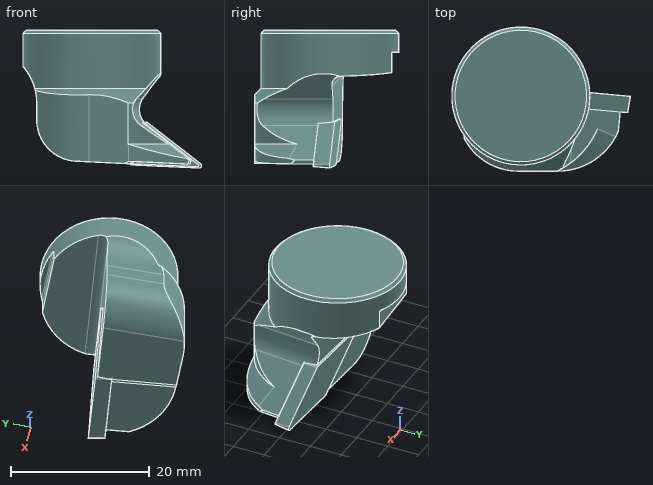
import cadquery as cq
import math

FAR = 25.9

shank_diameter = 20.0
shank_radius = shank_diameter / 2
shank_chamfer = 0.47
shank_bottom = -8.45
neck_radius = 12.1
neck_top = shank_bottom - (neck_radius - shank_radius)
shoulder_z = -16.5
shoulder_width = 5.18
shoulder_slope = 36.0

front_y = -10.9
left_corner_x = -0.4
left_corner_radius = 8.8
right_corner_x = 5.33
right_corner_radius = 9.58

body_left = -8.0
relief_start_z = -5.25
relief_end_z = -10.5
heel_top_z = -12.97
heel_end_x = -2.65
heel_end_z = -18.98
bottom_slope = 2.8

seat_turn = 5.3
pocket_wall = 1.11
pocket_roof_z = -5.85
pocket_roof_tilt = 4.9
pocket_fillet = 1.4

flat_y = 8.95
flat_top = -3.2
flat_fillet = 0.2

insert_face = 1.42
insert_thickness = 2.4
insert_tip_u = 15.85
insert_bottom_z = -20.0
insert_width = 6.35
insert_angle = 35.0
insert_tilt = 2.6
insert_clearance = 5.0
insert_corner = 0.35
insert_edge = insert_width / math.sin(math.radians(insert_angle))

turn = math.radians(seat_turn)
seat_u = cq.Vector(math.cos(turn), -math.sin(turn), 0)
seat_normal = cq.Vector(math.sin(turn), math.cos(turn), 0)


def seat_plane(offset):
    """Plane parallel to the seat; local axes are seat_u and Z, facing away from the pocket."""
    return cq.Workplane(cq.Plane(seat_normal * offset, seat_u, seat_normal * -1))


def turned_blank():
    """Lower body turned about Z, from the shank bottom to the conical shoulder."""
    shoulder_radius = neck_radius + shoulder_width
    shoulder_end_z = shoulder_z - shoulder_width * math.tan(math.radians(shoulder_slope))
    return (
        cq.Workplane("XZ")
        .moveTo(0, shank_bottom)
        .lineTo(shank_radius, shank_bottom)
        .lineTo(neck_radius, neck_top)
        .lineTo(neck_radius, shoulder_z)
        .lineTo(shoulder_radius, shoulder_end_z)
        .lineTo(shoulder_radius, -FAR)
        .lineTo(0, -FAR)
        .close()
        .revolve(360, (0, 0, 0), (0, 1, 0))
    )


def plan_outline():
    """Prism with the plan outline of the nose."""
    left_x = left_corner_x - left_corner_radius
    right_x = right_corner_x + right_corner_radius
    return (
        cq.Workplane("XY")
        .moveTo(left_x, shank_radius)
        .lineTo(left_x, front_y + left_corner_radius)
        .radiusArc((left_corner_x, front_y), -left_corner_radius)
        .lineTo(right_corner_x, front_y)
        .radiusArc((right_x, front_y + right_corner_radius), -right_corner_radius)
        .lineTo(right_x, shank_radius)
        .close()
        .extrude(-FAR)
    )


def side_outline():
    """Prism along Y with the relief, heel and bottom of the holder."""
    relief_depth = shank_radius + body_left
    relief_height = relief_start_z - relief_end_z
    relief_radius = (relief_depth**2 + relief_height**2) / (2 * relief_depth)
    bottom_end_z = heel_end_z - (FAR - heel_end_x) * math.tan(math.radians(bottom_slope))
    return (
        cq.Workplane("XZ")
        .moveTo(-shank_radius, 0)
        .lineTo(-shank_radius, relief_start_z)
        .radiusArc((body_left, relief_end_z), relief_radius)
        .lineTo(body_left, heel_top_z)
        .tangentArcPoint((heel_end_x, heel_end_z), relative=False)
        .lineTo(FAR, bottom_end_z)
        .lineTo(FAR, 0)
        .close()
        .extrude(FAR, both=True)
    )


def nose_cutter():
    """Removes the throat, the flank and the space beyond and below the nose."""
    throat_top = (9.95, -6.37)
    throat_arc_start = (7.25, -10.0)
    throat_arc_middle = (6.83, -11.5)
    flank_top = (8.03, -13.83)
    nose_end_top = (14.55, -18.82)
    nose_end_bottom = (14.35, -19.4)
    step_top = (6.27, -19.0)
    step_bottom = (5.57, -19.42)
    return (
        seat_plane(FAR)
        .moveTo(*throat_top)
        .lineTo(*throat_arc_start)
        .threePointArc(throat_arc_middle, flank_top)
        .lineTo(*nose_end_top)
        .lineTo(*nose_end_bottom)
        .lineTo(*step_top)
        .lineTo(*step_bottom)
        .lineTo(step_bottom[0], -FAR)
        .lineTo(FAR, -FAR)
        .lineTo(FAR, throat_top[1])
        .close()
        .extrude(2 * FAR)
    )


def chip_pocket():
    """Open space behind the pocket wall, under the tilted roof."""
    tilt = math.radians(pocket_roof_tilt)
    along_roof = seat_u * math.cos(tilt) - cq.Vector(0, 0, math.sin(tilt))
    origin = seat_normal * pocket_wall + cq.Vector(0, 0, pocket_roof_z)
    return (
        cq.Workplane(cq.Plane(origin, seat_normal, along_roof * -1))
        .moveTo(0, FAR)
        .lineTo(0, pocket_fillet)
        .radiusArc((pocket_fillet, 0), -pocket_fillet)
        .lineTo(FAR, 0)
        .lineTo(FAR, FAR)
        .close()
        .extrude(FAR, both=True)
    )


def back_flat():
    """Removes the back of the shank below a ledge."""
    block = cq.Workplane("XY").box(FAR, FAR, FAR, centered=(True, False, False))
    block = block.translate((0, flat_y, flat_top - FAR))
    return block.edges("<Y and >Z").fillet(flat_fillet)


def make_insert():
    """Rhombic insert, tapered from its cutting face and rounded at its corners."""
    lower = math.radians(180 - insert_tilt)
    upper = math.radians(180 - insert_tilt - insert_angle)
    bisector = (lower + upper) / 2
    to_corner = insert_corner / math.sin(math.radians(insert_angle / 2))
    tip_u = insert_tip_u - insert_corner - to_corner * math.cos(bisector)
    tip_z = insert_bottom_z + insert_corner - to_corner * math.sin(bisector)
    lower_step = (insert_edge * math.cos(lower), insert_edge * math.sin(lower))
    upper_step = (insert_edge * math.cos(upper), insert_edge * math.sin(upper))
    rhombus = (
        cq.Sketch()
        .polygon(
            [
                (tip_u, tip_z),
                (tip_u + upper_step[0], tip_z + upper_step[1]),
                (tip_u + upper_step[0] + lower_step[0], tip_z + upper_step[1] + lower_step[1]),
                (tip_u + lower_step[0], tip_z + lower_step[1]),
                (tip_u, tip_z),
            ]
        )
        .vertices()
        .fillet(insert_corner)
    )
    return seat_plane(insert_face).placeSketch(rhombus).extrude(insert_thickness, taper=insert_clearance)


def make_holder(insert):
    """Shank and nose in one solid, with a seat that fits the insert."""
    shank = cq.Workplane("XY").circle(shank_radius).extrude(shank_bottom)
    shank = shank.faces(">Z").chamfer(shank_chamfer)
    body = shank.union(turned_blank().intersect(plan_outline()))
    body = body.intersect(side_outline())
    body = body.cut(nose_cutter()).cut(chip_pocket()).cut(back_flat())
    return body.cut(insert)


insert = make_insert()
holder = make_holder(insert)

result = cq.Compound.makeCompound([holder.val(), insert.val()])